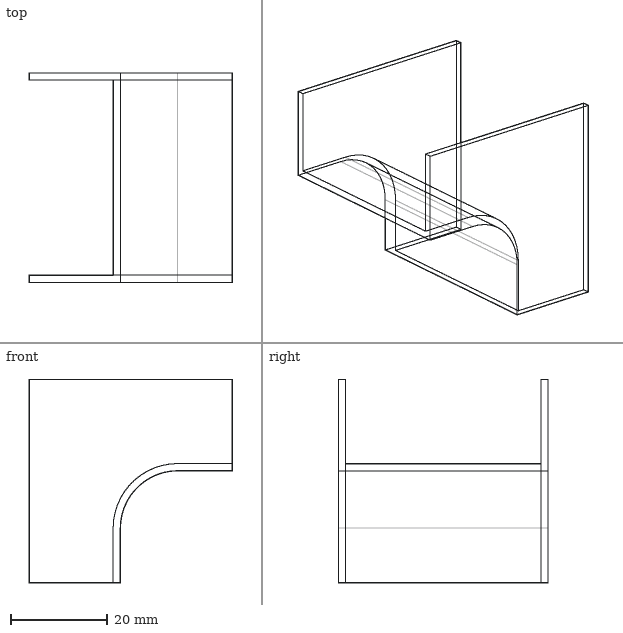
import cadquery as cq

side = 42.3
width = 43.6
wall = 1.53
leg = 19.0
inner_radius = 11.9

web_offset = leg - wall
web_radius = inner_radius + wall


def rounded_l(leg_width, corner_radius, length):
    """L-shaped prism centred on Y, with legs along the left and top edges."""
    inner_z = side - leg_width
    outline = (
        cq.Workplane("XZ")
        .moveTo(0, 0)
        .lineTo(leg_width, 0)
        .lineTo(leg_width, inner_z - corner_radius)
        .radiusArc((leg_width + corner_radius, inner_z), corner_radius)
        .lineTo(side, inner_z)
        .lineTo(side, side)
        .lineTo(0, side)
        .close()
    )
    return outline.extrude(length / 2, both=True)


channel = rounded_l(web_offset, web_radius, width - 2 * wall)
result = rounded_l(leg, inner_radius, width).cut(channel)